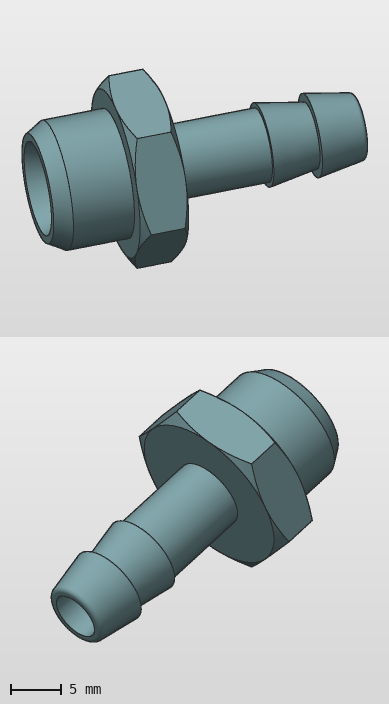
import cadquery as cq
import math

HEX_SIDES = 6
HEX_ACROSS_FLATS = 17.0
HEX_THICKNESS = 5.0
HEX_CHAMFER_ANGLE = 30.0

SPIGOT_DIAMETER = 13.1
SPIGOT_LENGTH = 8.0
SPIGOT_CHAMFER_WIDTH = 1.0
SPIGOT_CHAMFER_ANGLE = 30.0

STEM_DIAMETER = 7.5
STEM_LENGTH = 10.0
BARB_COUNT = 2
BARB_LENGTH = 5.0
BARB_LARGE_DIAMETER = 8.5
BARB_TAPER_ANGLE = 10.0
TIP_FILLET_RADIUS = 0.5

BORE_DIAMETER = 5.0
CONE_MOUTH_DIAMETER = 9.5
CONE_INCLUDED_ANGLE = 40.0

hex_across_corners = HEX_ACROSS_FLATS / math.cos(math.pi / HEX_SIDES)
hex_stem_face = HEX_THICKNESS
spigot_end = -SPIGOT_LENGTH
barbs_start = hex_stem_face + STEM_LENGTH
tip_end = barbs_start + BARB_COUNT * BARB_LENGTH


def revolve_profile(points):
    """Revolve a closed (radius, y) outline about the Y axis."""
    return cq.Workplane("ZY").polyline(points).close().revolve(360, (0, 0), (0, 1))


def make_hexagon():
    """Hexagon with flats facing +Z and -Z, its corners chamfered on both faces."""
    prism = (
        cq.Workplane("XZ")
        .polygon(HEX_SIDES, hex_across_corners)
        .extrude(-HEX_THICKNESS)
    )
    face_radius = HEX_ACROSS_FLATS / 2
    corner_radius = hex_across_corners / 2
    chamfer_depth = (corner_radius - face_radius) * math.tan(math.radians(HEX_CHAMFER_ANGLE))
    chamfer_envelope = revolve_profile([
        (0, 0),
        (face_radius, 0),
        (corner_radius, chamfer_depth),
        (corner_radius, hex_stem_face - chamfer_depth),
        (face_radius, hex_stem_face),
        (0, hex_stem_face),
    ])
    return prism.intersect(chamfer_envelope)


def make_spigot():
    """Threaded-end cylinder with a steep lead-in chamfer."""
    radius = SPIGOT_DIAMETER / 2
    chamfer_length = SPIGOT_CHAMFER_WIDTH / math.tan(math.radians(SPIGOT_CHAMFER_ANGLE))
    return revolve_profile([
        (0, spigot_end),
        (radius - SPIGOT_CHAMFER_WIDTH, spigot_end),
        (radius, spigot_end + chamfer_length),
        (radius, 0),
        (0, 0),
    ])


def make_barbed_stem():
    """Plain stem followed by tapered barbs; the free end is rounded."""
    large_radius = BARB_LARGE_DIAMETER / 2
    taper = math.tan(math.radians(BARB_TAPER_ANGLE))
    outline = [
        (0, hex_stem_face),
        (STEM_DIAMETER / 2, hex_stem_face),
        (STEM_DIAMETER / 2, barbs_start),
    ]
    for index in range(BARB_COUNT):
        barb_start = barbs_start + index * BARB_LENGTH
        outline.append((large_radius, barb_start))
        outline.append((large_radius - BARB_LENGTH * taper, barb_start + BARB_LENGTH))
    outline.append((0, tip_end))
    return revolve_profile(outline).faces(">Y").edges().fillet(TIP_FILLET_RADIUS)


def make_bore():
    """Through bore with a conical seat opening at the spigot end."""
    bore_radius = BORE_DIAMETER / 2
    mouth_radius = CONE_MOUTH_DIAMETER / 2
    cone_depth = (mouth_radius - bore_radius) / math.tan(math.radians(CONE_INCLUDED_ANGLE / 2))
    return revolve_profile([
        (0, spigot_end),
        (mouth_radius, spigot_end),
        (bore_radius, spigot_end + cone_depth),
        (bore_radius, tip_end),
        (0, tip_end),
    ])


body = make_hexagon().union(make_spigot()).union(make_barbed_stem())
result = body.cut(make_bore())